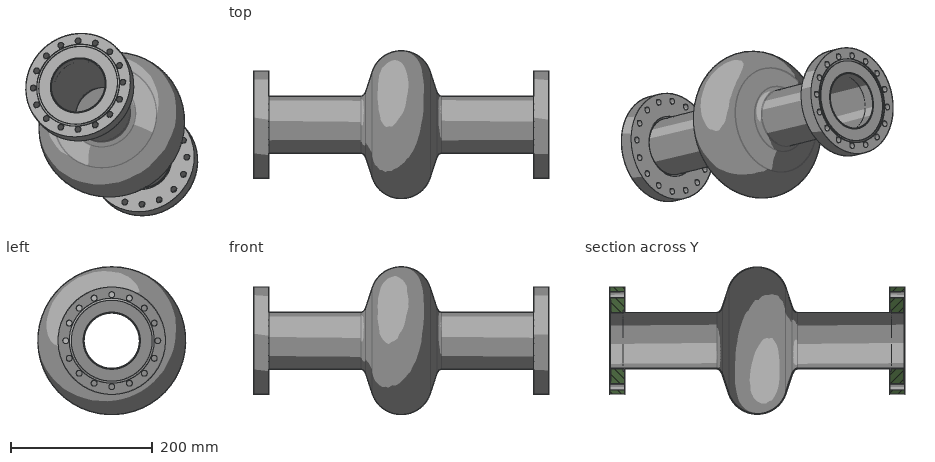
import cadquery as cq
import math

total_length = 416.8
wall = 1.5

pipe_radius = 40.5
equator_radius = 104.5
equator_arc_radius = 43.5
iris_half_width = 7.5
iris_height = 11.3
iris_position = 57.0

flange_radius = 76.0
flange_thickness = 21.5
bolt_count = 16
bolt_circle_radius = 65.0
bolt_hole_diameter = 8.5

clearance_radius = 43.0
clearance_depth = 2.5

recess_radius = 60.0
recess_depth = 1.3
knife_radius = 57.0
knife_height = 1.0

bisection_steps = 60

half_length = total_length / 2
pipe_end = half_length - recess_depth


def side_wall_angle(arc_radius, half_width, height, arc_center, iris_center):
    """Normal angle of the straight wall that touches both the equator arc and the iris ellipse."""
    def gap(angle):
        support = math.hypot(half_width * math.cos(angle), height * math.sin(angle))
        across = iris_position * math.cos(angle)
        along = (iris_center - arc_center) * math.sin(angle)
        return across + along - support - arc_radius

    low = 0.0
    high = math.pi / 2
    for _ in range(bisection_steps):
        middle = (low + high) / 2
        if gap(middle) > 0:
            low = middle
        else:
            high = middle
    return low


def revolved_cell(inset):
    """Solid of revolution bounded by the outer surface moved inward by the inset."""
    arc_radius = equator_arc_radius - inset
    half_width = iris_half_width + inset
    height = iris_height + inset
    arc_center = equator_radius - equator_arc_radius
    iris_center = pipe_radius + iris_height
    angle = side_wall_angle(arc_radius, half_width, height, arc_center, iris_center)

    arc_x = arc_radius * math.cos(angle)
    arc_r = arc_center + arc_radius * math.sin(angle)
    ellipse_angle = math.atan2(-height * math.sin(angle), -half_width * math.cos(angle))
    ellipse_x = iris_position + half_width * math.cos(ellipse_angle)
    ellipse_r = iris_center + height * math.sin(ellipse_angle)
    tangent_degrees = math.degrees(ellipse_angle) % 360
    mirrored_tangent_degrees = 540 - tangent_degrees
    bottom_degrees = 270
    bore_radius = pipe_radius - inset

    return (
        cq.Workplane("XZ")
        .moveTo(-pipe_end, 0)
        .lineTo(-pipe_end, bore_radius)
        .lineTo(-iris_position, bore_radius)
        .ellipseArc(half_width, height, bottom_degrees, mirrored_tangent_degrees)
        .lineTo(-arc_x, arc_r)
        .threePointArc((0, arc_center + arc_radius), (arc_x, arc_r))
        .lineTo(ellipse_x, ellipse_r)
        .ellipseArc(half_width, height, tangent_degrees, bottom_degrees)
        .lineTo(pipe_end, bore_radius)
        .lineTo(pipe_end, 0)
        .close()
        .revolve(360, (0, 0, 0), (1, 0, 0))
    )


def make_cavity():
    """Thin-walled cell and beam pipes, open at both ends."""
    return revolved_cell(0).cut(revolved_cell(wall))


def make_flange(side):
    """Flange on the +X (side = 1) or -X (side = -1) end, fitted around the pipe."""
    inner_face = half_length - flange_thickness
    profile = [
        (inner_face + clearance_depth, pipe_radius),
        (inner_face + clearance_depth, clearance_radius),
        (inner_face, clearance_radius),
        (inner_face, flange_radius),
        (half_length, flange_radius),
        (half_length, recess_radius),
        (pipe_end, recess_radius),
        (pipe_end + knife_height, knife_radius),
        (pipe_end, knife_radius),
        (pipe_end, pipe_radius),
    ]
    body = (
        cq.Workplane("XZ")
        .polyline([(side * x, r) for x, r in profile])
        .close()
        .revolve(360, (0, 0, 0), (1, 0, 0))
    )
    bolt_holes = (
        cq.Workplane("YZ")
        .polarArray(bolt_circle_radius, 0, 360, bolt_count)
        .circle(bolt_hole_diameter / 2)
        .extrude(side * total_length)
    )
    return body.cut(bolt_holes)


cavity = make_cavity()
flanges = [make_flange(side) for side in (-1, 1)]

result = cq.Compound.makeCompound([cavity.val(), *[flange.val() for flange in flanges]])